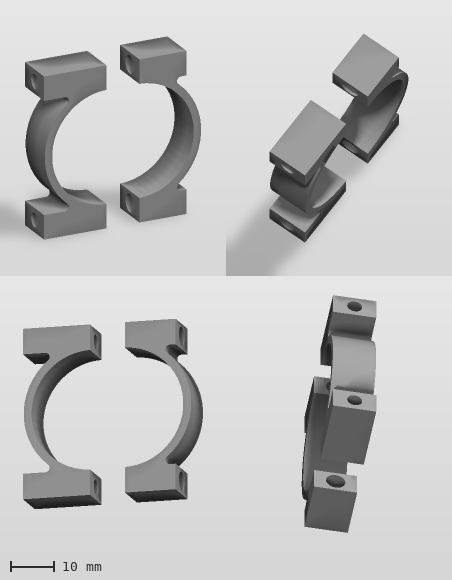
import cadquery as cq
import math

width = 10.0
height = 40.0
bore_radius = 14.0
strap_thickness = 1.9
outer_radius = bore_radius + strap_thickness
block_height = 6.0
block_edge = height / 2 - block_height
fillet_radius = 1.0
face_setback = 0.2
half_gap = 4.15
hole_height = height / 2 - block_height / 2

front_block_length = 15.85
front_hole_diameter = 3.5
rear_block_length = 12.0
rear_hole_diameter = 4.5


def half_profile(block_length):
    """Outline in (outward, up), measured from the bore axis, mating face inwards."""
    block_end = face_setback + block_length

    fillet_height = block_edge - fillet_radius
    center_distance = outer_radius + fillet_radius
    fillet_out = math.sqrt(center_distance**2 - fillet_height**2)
    strap_touch_out = fillet_out * outer_radius / center_distance
    strap_touch_up = fillet_height * outer_radius / center_distance
    fillet_side = fillet_out - fillet_radius

    bore_corner = math.sqrt(bore_radius**2 - face_setback**2)

    return (
        cq.Workplane("YZ", origin=(-width / 2, 0, 0))
        .moveTo(face_setback, bore_corner)
        .lineTo(face_setback, height / 2)
        .lineTo(block_end, height / 2)
        .lineTo(block_end, block_edge)
        .lineTo(fillet_out, block_edge)
        .threePointArc((fillet_side, fillet_height), (strap_touch_out, strap_touch_up))
        .threePointArc((outer_radius, 0), (strap_touch_out, -strap_touch_up))
        .threePointArc((fillet_side, -fillet_height), (fillet_out, -block_edge))
        .lineTo(block_end, -block_edge)
        .lineTo(block_end, -height / 2)
        .lineTo(face_setback, -height / 2)
        .lineTo(face_setback, -bore_corner)
        .threePointArc((bore_radius, 0), (face_setback, bore_corner))
        .close()
    )


def clamp_half(block_length, hole_diameter):
    """Clamp half opening toward -Y, with a screw hole through each block."""
    body = half_profile(block_length).extrude(width)
    holes = (
        cq.Workplane("XZ")
        .pushPoints([(0, hole_height), (0, -hole_height)])
        .circle(hole_diameter / 2)
        .extrude(-(face_setback + block_length))
    )
    return body.cut(holes).translate((0, half_gap - face_setback, 0))


rear_half = clamp_half(rear_block_length, rear_hole_diameter)
front_half = clamp_half(front_block_length, front_hole_diameter).rotate((0, 0, 0), (0, 0, 1), 180)

result = cq.Compound.makeCompound([rear_half.val(), front_half.val()])